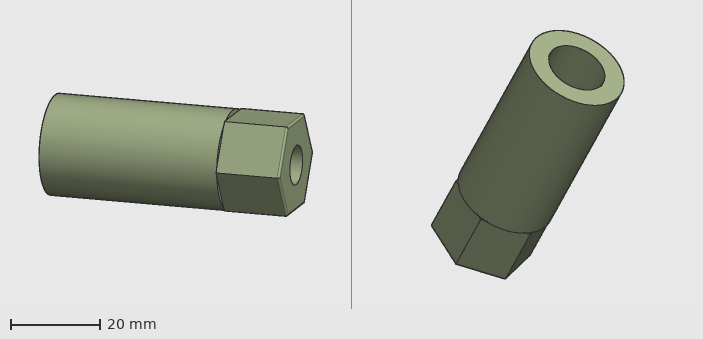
import cadquery as cq

total_length = 57.0

sleeve_length = 42.0
sleeve_diameter = 23.0
sleeve_bore = 13.6

head_length = total_length - sleeve_length
head_across_corners = 24.0
head_bore = 9.0
head_rounding = 0.5


def make_sleeve():
    """Plain tube with its axis along X."""
    return (
        cq.Workplane("YZ")
        .circle(sleeve_diameter / 2)
        .circle(sleeve_bore / 2)
        .extrude(sleeve_length)
    )


def make_head():
    """Hexagon with two corners on the Y axis, rounded around its outer end and bored through."""
    hexagon = (
        cq.Workplane("YZ")
        .workplane(offset=sleeve_length)
        .polygon(6, head_across_corners)
        .extrude(head_length)
    )
    rounded = hexagon.faces(">X").edges().fillet(head_rounding)
    return rounded.faces(">X").workplane().hole(head_bore)


sleeve = make_sleeve()
head = make_head()

result = cq.Compound.makeCompound([sleeve.val(), head.val()])